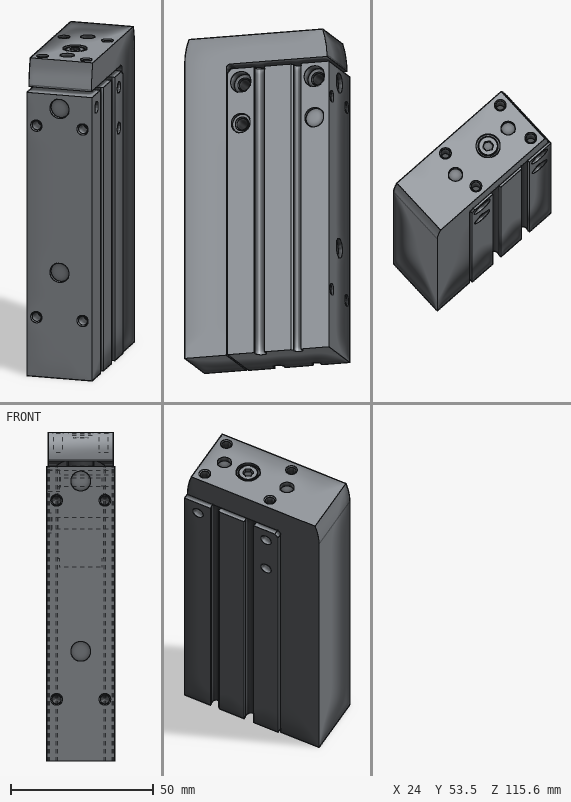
import cadquery as cq
import math

overall_depth = 53.5
overall_height = 115.6

housing_width = 24.0
housing_depth = 37.4
housing_height = 103.6
housing_chamfer = 1.3

table_width = 23.0
table_face_y = 38.1
arm_underside_z = 105.5
arm_front_y = 0.85
corner_fillet = 1.5
crown_setback = 1.6
rear_crown_height = 8.5
rear_crown_radius = 24.0
front_land_height = 0.6
front_crown_radius = 36.0
relief_radius = 14.0
relief_center_drop = 12.7

guide_width = 16.0
guide_cap_width = 15.0
guide_cap_length = 3.0
guide_bottom_z = 68.2
guide_top_z = 99.5

rod_y = 19.0
rod_diameter = 8.5
bumper_y = 31.5
bumper_diameter = 9.5
bumper_gap = 0.2

front_groove_width = 3.0
rear_groove_width = 3.8
groove_lip_depth = 1.0
groove_undercut = 0.15
front_groove_y = 11.8
rear_groove_y = 25.7
groove_chamfer = 0.7

front_column_y = 5.4
rear_column_y = 32.6
mount_row_z = 98.6
port_row_z = 83.7
mount_bore_diameter = 7.5
mount_bore_depth = 4.5
port_bore_diameter = 7.0
port_bore_depth = 1.5
through_diameter = 4.13
through_mouth_diameter = 5.0

tapped_diameter = 3.24
tapped_mouth_diameter = 4.13
tapped_depth = 7.0
drill_point_angle = 118.0

front_hole_x = 8.5
front_hole_z = (21.7, 91.7)
front_plug_z = (38.6, 98.5)
front_plug_diameter = 7.0
front_plug_depth = 1.5

top_hole_x = 8.0
top_hole_y = (6.0, 32.0)
dowel_y = (9.5, 34.5)
dowel_diameter = 5.0
dowel_depth = 2.0
screw_recess_diameter = 8.5
screw_head_diameter = 7.0
screw_head_rim_diameter = 6.5
screw_recess_depth = 1.0
screw_head_height = 0.7
hex_across_flats = 3.3
hex_depth = 1.5


def cylinder(diameter, length, start, direction):
    return cq.Workplane(cq.Solid.makeCylinder(diameter / 2, length, cq.Vector(*start), cq.Vector(*direction)))


def cone(start_diameter, end_diameter, length, start, direction):
    solid = cq.Solid.makeCone(
        start_diameter / 2, end_diameter / 2, length, cq.Vector(*start), cq.Vector(*direction)
    )
    return cq.Workplane(solid)


def along(start, direction, distance):
    return tuple(s + d * distance for s, d in zip(start, direction))


def threaded_hole(start, direction):
    """Countersunk blind hole with a flat floor."""
    mouth_depth = (tapped_mouth_diameter - tapped_diameter) / 2
    hole = cylinder(tapped_diameter, tapped_depth, start, direction)
    return hole.union(cone(tapped_mouth_diameter, tapped_diameter, mouth_depth, start, direction))


def drilled_hole(start, direction):
    """Countersunk blind hole that ends in a drill point."""
    point_length = tapped_diameter / 2 / math.tan(math.radians(drill_point_angle / 2))
    tip = cone(tapped_diameter, 0, point_length, along(start, direction, tapped_depth), direction)
    return threaded_hole(start, direction).union(tip)


def stepped_through_hole(y, z, bore_diameter, bore_depth):
    """Hole along X through the housing, with a counterbore on the -X side."""
    start = (-housing_width / 2, y, z)
    direction = (1, 0, 0)
    mouth_depth = (through_mouth_diameter - through_diameter) / 2
    hole = cylinder(through_diameter, housing_width, start, direction)
    hole = hole.union(cylinder(bore_diameter, bore_depth, start, direction))
    floor = along(start, direction, bore_depth)
    return hole.union(cone(through_mouth_diameter, through_diameter, mouth_depth, floor, direction))


def sensor_groove(side, y, mouth_width):
    """Full-height groove: straight lips opening into a round bore; side is -1 or +1 along X."""
    outer_x = side * housing_width / 2
    half_mouth = mouth_width / 2
    bore_radius = half_mouth + groove_undercut
    lip_x = outer_x - side * groove_lip_depth
    bottom_x = lip_x - side * (bore_radius + math.sqrt(bore_radius**2 - half_mouth**2))
    return (
        cq.Workplane("XY")
        .moveTo(outer_x, y - half_mouth)
        .lineTo(lip_x, y - half_mouth)
        .threePointArc((bottom_x, y), (lip_x, y + half_mouth))
        .lineTo(outer_x, y + half_mouth)
        .close()
        .extrude(housing_height)
    )


def groove_bevel(side):
    """Wedge that bevels the rear mouth edge of the front groove."""
    outer_x = side * housing_width / 2
    inner_x = outer_x - side * groove_chamfer
    edge_y = front_groove_y + front_groove_width / 2
    wedge = [(outer_x, edge_y), (inner_x, edge_y), (outer_x, edge_y + groove_chamfer)]
    return cq.Workplane("XY").polyline(wedge).close().extrude(housing_height)


def guide_section(width, bottom, top):
    return cq.Workplane("XY").box(
        width, table_face_y - housing_depth, top - bottom, centered=(True, False, False)
    ).translate((0, housing_depth, bottom))


def make_housing():
    body = cq.Workplane("XY").box(
        housing_width, housing_depth, housing_height, centered=(True, False, False)
    )
    body = body.faces(">Z").edges(">Y").chamfer(housing_chamfer)

    for side in (-1, 1):
        body = body.cut(sensor_groove(side, front_groove_y, front_groove_width))
        body = body.cut(sensor_groove(side, rear_groove_y, rear_groove_width))
        body = body.cut(groove_bevel(side))

    for y in (front_column_y, rear_column_y):
        body = body.cut(stepped_through_hole(y, mount_row_z, mount_bore_diameter, mount_bore_depth))
    body = body.cut(stepped_through_hole(rear_column_y, port_row_z, port_bore_diameter, port_bore_depth))
    blind_port_start = (-housing_width / 2, front_column_y, port_row_z)
    body = body.cut(cylinder(port_bore_diameter, port_bore_depth, blind_port_start, (1, 0, 0)))

    for z in front_plug_z:
        body = body.cut(cylinder(front_plug_diameter, front_plug_depth, (0, 0, z), (0, 1, 0)))
    for z in front_hole_z:
        for x in (-front_hole_x, front_hole_x):
            body = body.cut(drilled_hole((x, 0, z), (0, 1, 0)))

    body = body.union(guide_section(guide_cap_width, guide_bottom_z, guide_top_z))
    body = body.union(
        guide_section(guide_width, guide_bottom_z + guide_cap_length, guide_top_z - guide_cap_length)
    )

    rod_length = arm_underside_z - housing_height
    return body.union(cylinder(rod_diameter, rod_length, (0, rod_y, housing_height), (0, 0, 1)))


def make_table():
    profile = (
        cq.Workplane("YZ")
        .moveTo(table_face_y, 0)
        .lineTo(overall_depth, 0)
        .lineTo(overall_depth, overall_height - rear_crown_height)
        .radiusArc((overall_depth - crown_setback, overall_height), -rear_crown_radius)
        .lineTo(arm_front_y + crown_setback, overall_height)
        .radiusArc((arm_front_y, arm_underside_z + front_land_height), -front_crown_radius)
        .lineTo(arm_front_y, arm_underside_z)
        .lineTo(table_face_y - corner_fillet, arm_underside_z)
        .radiusArc((table_face_y, arm_underside_z - corner_fillet), corner_fillet)
        .close()
    )
    body = profile.extrude(table_width / 2, both=True)

    relief = cylinder(
        2 * relief_radius, corner_fillet,
        (0, table_face_y - corner_fillet, arm_underside_z - relief_center_drop), (0, 1, 0),
    )
    below_arm = cq.Workplane("XY").box(
        2 * relief_radius, overall_depth, arm_underside_z, centered=(True, False, False)
    )
    body = body.cut(relief.intersect(below_arm))

    bumper_length = arm_underside_z - housing_height - bumper_gap
    body = body.union(cylinder(bumper_diameter, bumper_length, (0, bumper_y, arm_underside_z), (0, 0, -1)))

    for y in dowel_y:
        body = body.cut(cylinder(dowel_diameter, dowel_depth, (0, y, overall_height), (0, 0, -1)))
    for y in top_hole_y:
        for x in (-top_hole_x, top_hole_x):
            body = body.cut(threaded_hole((x, y, overall_height), (0, 0, -1)))

    recess_floor_z = overall_height - screw_recess_depth
    recess_start = (0, rod_y, overall_height)
    body = body.cut(cylinder(screw_recess_diameter, screw_recess_depth, recess_start, (0, 0, -1)))
    head = cylinder(screw_head_diameter, screw_head_height, (0, rod_y, recess_floor_z), (0, 0, 1))
    head = head.faces(">Z").chamfer((screw_head_diameter - screw_head_rim_diameter) / 2)
    body = body.union(head)
    hex_corner_diameter = hex_across_flats / math.cos(math.pi / 6)
    hex_socket = (
        cq.Workplane("XY")
        .workplane(offset=recess_floor_z + screw_head_height)
        .center(0, rod_y)
        .polygon(6, hex_corner_diameter)
        .extrude(-hex_depth)
    )
    return body.cut(hex_socket)


housing = make_housing()
table = make_table()

result = cq.Compound.makeCompound([housing.solids().val(), table.solids().val()])